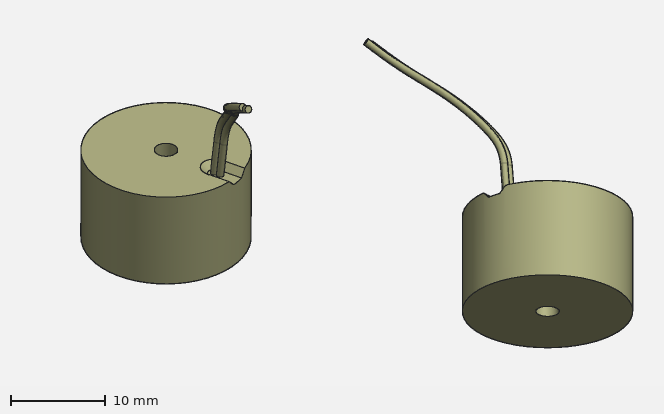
import cadquery as cq

body_diameter = 18.0
body_height = 11.03
bore_diameter = 2.47

notch_depth = 0.78
notch_floor_radius = 0.75
notch_top_radius = notch_floor_radius + notch_depth
notch_center_x = 6.1
notch_length = body_diameter / 2

wire_diameter = 0.8
wire_spacing = 0.75
wire_embed = 0.3
root_x = 6.38

floor_z = body_height - notch_depth

bend_start = (6.87, -0.03, body_height + 3.5)
lead_curve = [
    bend_start,
    (8.4, -1.2, body_height + 7.45),
    (11.03, -4.35, body_height + 11.2),
    (13.22, -8.1, body_height + 14.5),
    (16.8, -10.75, body_height + 17.35),
]
tip_direction = (8, -3.4, 4.5)


def make_body():
    body = cq.Workplane("XY").circle(body_diameter / 2).extrude(body_height)
    return body.faces(">Z").workplane().hole(bore_diameter)


def make_notch():
    cone = cq.Solid.makeCone(
        notch_floor_radius, notch_top_radius, notch_depth, pnt=cq.Vector(notch_center_x, 0, floor_z)
    )
    channel = (
        cq.Workplane("YZ", origin=(notch_center_x, 0, 0))
        .moveTo(-notch_floor_radius, floor_z)
        .lineTo(notch_floor_radius, floor_z)
        .lineTo(notch_top_radius, body_height)
        .lineTo(-notch_top_radius, body_height)
        .close()
        .extrude(notch_length)
    )
    return channel.union(cq.Workplane(cone))


def make_wire(offset_x):
    """One round lead: a straight stem and a curved run that continues it smoothly."""
    root = cq.Vector(root_x + offset_x, 0, floor_z - wire_embed)
    curve_points = [cq.Vector(x + offset_x, y, z) for x, y, z in lead_curve]
    stem_direction = (curve_points[0] - root).normalized()

    stem = cq.Edge.makeLine(root, curve_points[0])
    curve = cq.Edge.makeSpline(curve_points, tangents=[stem_direction, cq.Vector(*tip_direction).normalized()])
    path = cq.Wire.assembleEdges([stem, curve])
    profile = cq.Workplane(cq.Plane(origin=root, normal=stem_direction)).circle(wire_diameter / 2)
    return profile.sweep(cq.Workplane(path))


def make_wire_pair():
    left_wire = make_wire(-wire_spacing / 2)
    right_wire = make_wire(wire_spacing / 2)
    return left_wire.union(right_wire, clean=False)


result = make_body().cut(make_notch()).union(make_wire_pair(), clean=False)